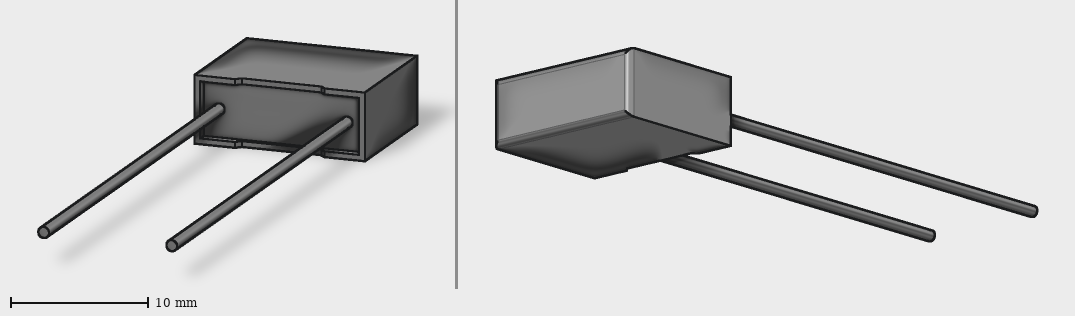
import cadquery as cq

case_width = 13.3
case_depth = 11.1
case_height = 5.21
wall = 0.45
back_edge_radius = 0.5

notch_depth = 0.4
notch_outer_width = 7.0
notch_inner_width = notch_outer_width - 2 * notch_depth

fill_setback = 0.75
fill_depth = case_depth - wall - fill_setback

total_length = 46.1
lead_pitch = 10.0
lead_diameter = 0.85
lead_length = total_length - case_depth + fill_setback


def block_along_y(width, depth, height, y_start):
    """Box centred on X and Z that runs toward +Y from y_start."""
    box = cq.Workplane("XY").box(width, depth, height, centered=(True, False, True))
    return box.translate((0, y_start, 0))


def make_case():
    outer = block_along_y(case_width, case_depth, case_height, 0)
    outer = outer.faces(">Y").edges().fillet(back_edge_radius)
    cavity = block_along_y(case_width - 2 * wall, case_depth - wall, case_height - 2 * wall, 0)
    notch = (
        cq.Workplane("XY")
        .polyline([
            (-notch_outer_width / 2, 0),
            (notch_outer_width / 2, 0),
            (notch_inner_width / 2, notch_depth),
            (-notch_inner_width / 2, notch_depth),
        ])
        .close()
        .extrude(case_height / 2, both=True)
    )
    return outer.cut(cavity).cut(notch)


def make_fill():
    return block_along_y(case_width - 2 * wall, fill_depth, case_height - 2 * wall, fill_setback)


def make_lead(x):
    lead = cq.Workplane("XZ").circle(lead_diameter / 2).extrude(lead_length)
    return lead.translate((x, fill_setback, 0))


case = make_case()
fill = make_fill()
leads = [make_lead(side * lead_pitch / 2) for side in (-1, 1)]

result = cq.Compound.makeCompound([case.val(), fill.val(), *[lead.val() for lead in leads]])